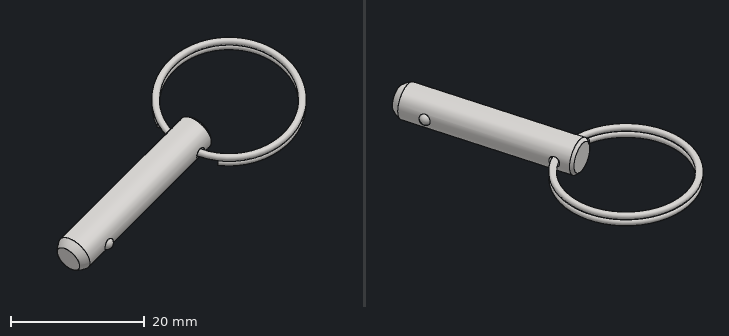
import cadquery as cq
import math

overall_length = 50.1

pin_diameter = 6.0
pin_length = 31.05
tail_chamfer = 0.5
nose_length = 1.4
nose_tip_radius = 2.15
nose_bulge = 0.1
ring_hole_diameter = 1.8
ring_hole_y = 27.95

ball_diameter = 2.05
ball_protrusion = 0.6
ball_y = 5.95

ring_outer_diameter = 23.15
wire_diameter = 1.2
coil_spacing = 1.15
lower_coil_end_x = 5.5

pin_radius = pin_diameter / 2
wire_radius = wire_diameter / 2
coil_radius = ring_outer_diameter / 2 - wire_radius
ring_center_y = overall_length - ring_outer_diameter / 2


def make_pin():
    """Round pin with a convex nose, a chamfered tail and a cross hole for the ring."""
    nose_mid = ((pin_radius + nose_tip_radius) / 2 + nose_bulge, nose_length / 2)
    pin = (
        cq.Workplane("XY")
        .lineTo(nose_tip_radius, 0)
        .threePointArc(nose_mid, (pin_radius, nose_length))
        .lineTo(pin_radius, pin_length - tail_chamfer)
        .lineTo(pin_radius - tail_chamfer, pin_length)
        .lineTo(0, pin_length)
        .close()
        .revolve(360, (0, 0, 0), (0, 1, 0))
    )
    ring_hole = (
        cq.Workplane("YZ")
        .center(ring_hole_y, 0)
        .circle(ring_hole_diameter / 2)
        .extrude(pin_radius, both=True)
    )
    return pin.cut(ring_hole)


def make_ball():
    """Ball standing out of the +X side of the pin."""
    ball_x = pin_radius + ball_protrusion - ball_diameter / 2
    return cq.Workplane("XY").sphere(ball_diameter / 2).translate((ball_x, ball_y, 0))


def make_coil(sweep_angle, level):
    """Wire coil about the ring centre, its opening centred on the side facing the pin."""
    coil = (
        cq.Workplane("XZ")
        .center(coil_radius, 0)
        .circle(wire_radius)
        .revolve(sweep_angle, (-coil_radius, 0, 0), (-coil_radius, -1, 0))
    )
    return coil.rotate((0, 0, 0), (0, 0, 1), 90 + sweep_angle / 2).translate((0, ring_center_y, level))


half_opening = math.degrees(math.asin(lower_coil_end_x / coil_radius))
upper_coil = make_coil(360, 0)
lower_coil = make_coil(360 - 2 * half_opening, -coil_spacing)

result = make_pin().union(make_ball()).union(upper_coil).union(lower_coil)